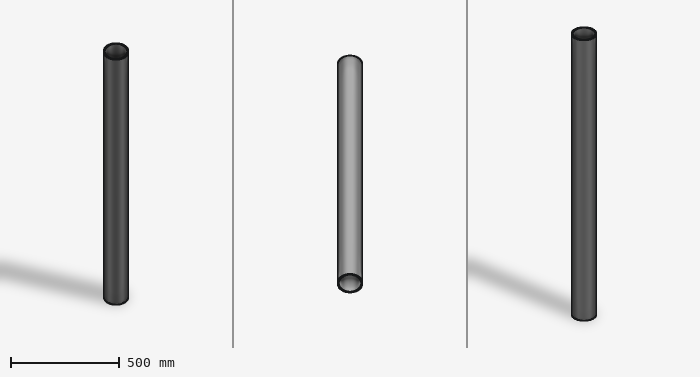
import cadquery as cq

outer_diameter = 114.3
wall_thickness = 6.02
length = 1524.0

inner_diameter = outer_diameter - 2 * wall_thickness

result = (
    cq.Workplane("XY")
    .circle(outer_diameter / 2)
    .circle(inner_diameter / 2)
    .extrude(length)
)